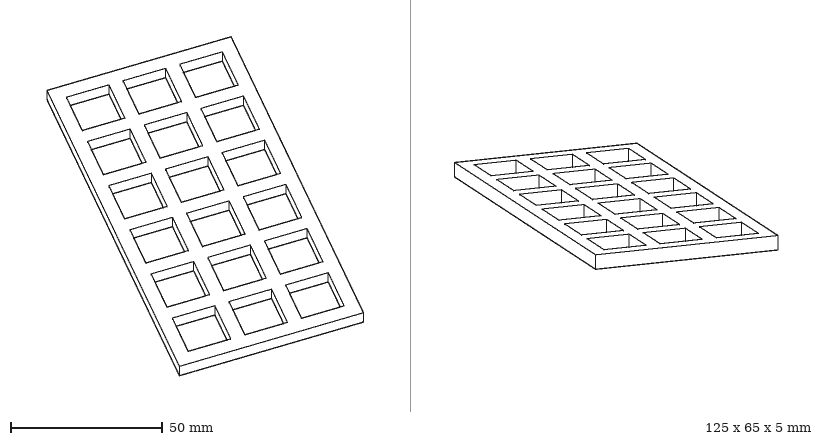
import cadquery as cq

columns = 6
rows = 3
opening = 15.0
bar_width = 5.0
thickness = 5.0

pitch = opening + bar_width
length = columns * pitch + bar_width
width = rows * pitch + bar_width


def plate():
    """Flat rectangular plate centred on the Z axis, resting on Z = 0."""
    return cq.Workplane("XY").box(length, width, thickness, centered=(True, True, False))


def openings():
    """Grid of square prisms that pierce the full thickness of the plate."""
    return (
        cq.Workplane("XY")
        .rarray(pitch, pitch, columns, rows)
        .rect(opening, opening)
        .extrude(thickness)
    )


result = plate().cut(openings())